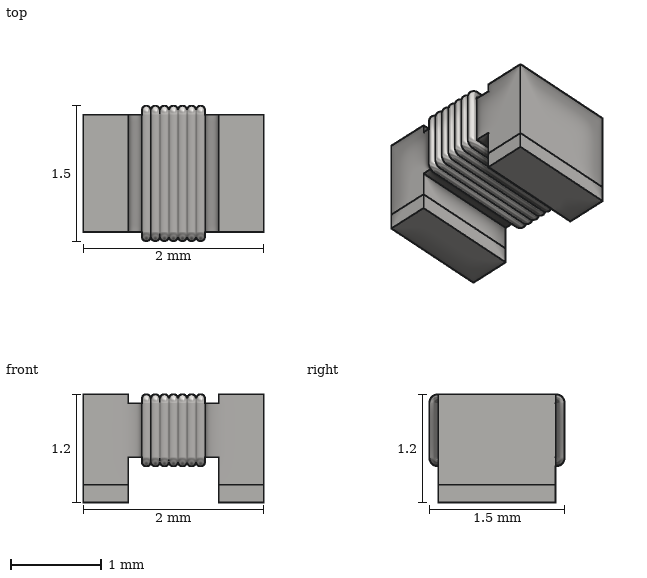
import cadquery as cq

length = 2.0
depth = 1.3
height = 1.2
flange_length = 0.5
terminal_height = 0.2
web_bottom = 0.5

wire_diameter = 0.1
turn_count = 7

wire_radius = wire_diameter / 2
web_top = height - wire_diameter
web_height = web_top - web_bottom
web_middle = (web_top + web_bottom) / 2
web_length = length - 2 * flange_length
flange_offset = (length - flange_length) / 2


def block(size_x, size_z, center_x, bottom_z):
    """Block across the full depth of the part, centered on Y."""
    return (
        cq.Workplane("XY", origin=(center_x, 0, bottom_z))
        .box(size_x, depth, size_z, centered=(True, True, False))
    )


def make_core():
    """H-shaped core standing on the two terminals."""
    core = block(web_length, web_height, 0, web_bottom)
    flange_height = height - terminal_height
    for side in (-1, 1):
        flange = block(flange_length, flange_height, side * flange_offset, terminal_height)
        core = core.union(flange)
    return core


def make_terminal(side):
    """Solder pad block under one flange."""
    return block(flange_length, terminal_height, side * flange_offset, 0)


def straight_wire(start, direction, run):
    """Straight round wire; direction is a unit vector."""
    return cq.Workplane(cq.Solid.makeCylinder(wire_radius, run, start, direction))


def make_corner(x, side_y, side_z):
    """Quarter bend of the wire, turning about one long edge of the web."""
    edge = cq.Vector(x, side_y * depth / 2, web_middle + side_z * web_height / 2)
    section_plane = cq.Plane(origin=edge, xDir=(0, side_y, 0), normal=(0, 0, 1))
    return (
        cq.Workplane(section_plane)
        .center(wire_radius, 0)
        .circle(wire_radius)
        .revolve(90, (-wire_radius, 0, 0), (-wire_radius, -side_z, 0))
    )


def make_turn(x):
    """One closed turn: four straight runs joined by four quarter bends."""
    run_y = depth / 2 + wire_radius
    run_z = web_height / 2 + wire_radius
    pieces = []
    for side in (-1, 1):
        upright_start = cq.Vector(x, side * run_y, web_bottom)
        pieces.append(straight_wire(upright_start, cq.Vector(0, 0, 1), web_height))
        level_start = cq.Vector(x, -depth / 2, web_middle + side * run_z)
        pieces.append(straight_wire(level_start, cq.Vector(0, 1, 0), depth))
    for side_y in (-1, 1):
        for side_z in (-1, 1):
            pieces.append(make_corner(x, side_y, side_z))
    turn = pieces[0]
    for piece in pieces[1:]:
        turn = turn.union(piece)
    return turn.solids()


core = make_core()
terminals = [make_terminal(side) for side in (-1, 1)]
first_turn_x = -(turn_count - 1) * wire_diameter / 2
turns = [make_turn(first_turn_x + i * wire_diameter) for i in range(turn_count)]

result = cq.Compound.makeCompound([
    core.solids().val(),
    *[terminal.val() for terminal in terminals],
    *[turn.val() for turn in turns],
])